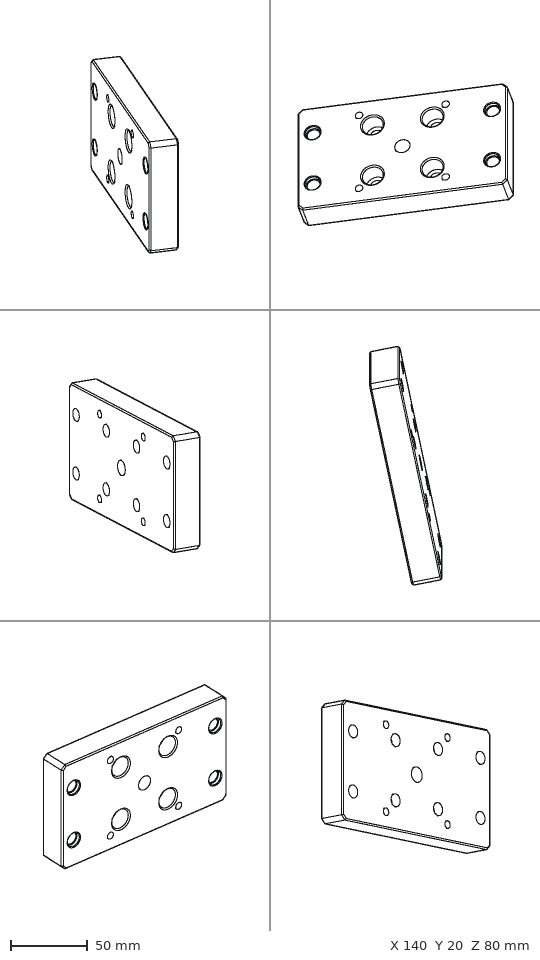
import cadquery as cq

LENGTH = 140.0
THICKNESS = 20.0
HEIGHT = 80.0
CORNER_CHAMFER = 3.1
EDGE_CHAMFER = 1.0

INNER_X = 20.0
OUTER_X = 3 * INNER_X
ROW_Z = INNER_X
PIN_OFFSET = 29.0

PIN_DIAMETER = 5.0
CENTRE_DIAMETER = 10.2
SCREW_DIAMETER = 8.5
COUNTERBORE_DIAMETER = 14.0
COUNTERBORE_DEPTH = 12.6
COUNTERBORE_CHAMFER = 1.0
OUTER_BORE_DIAMETER = 10.2
OUTER_BORE_DEPTH = 3.0
OUTER_BORE_CHAMFER = 0.5

FRONT_Y = -THICKNESS / 2


def mirrored_points(x, z):
    """Four positions, symmetric about both centre lines of the plate."""
    return [(sx * x, sz * z) for sx in (-1, 1) for sz in (-1, 1)]


def make_plate():
    plate = cq.Workplane("XY").box(LENGTH, THICKNESS, HEIGHT)
    plate = plate.edges("|Y").chamfer(CORNER_CHAMFER)
    return plate.faces("<Y or >Y").edges().chamfer(EDGE_CHAMFER)


def bore(points, diameter, depth):
    """Cylinders sunk from the drilled face to the given depth."""
    face = cq.Workplane("XZ", origin=(0, FRONT_Y, 0))
    return face.pushPoints(points).circle(diameter / 2).extrude(-depth)


def countersink(points, diameter, chamfer):
    """45-degree cones that chamfer the mouths of bores in the drilled face."""
    cone = cq.Solid.makeCone(
        diameter / 2 + chamfer, diameter / 2, chamfer,
        pnt=cq.Vector(0, FRONT_Y, 0), dir=cq.Vector(0, 1, 0),
    )
    cones = cq.Workplane("XY")
    for x, z in points:
        cones = cones.add(cone.translate(cq.Vector(x, 0, z)))
    return cones.combine()


def cut_stepped_holes(plate, points, diameter, depth, chamfer):
    """Through screw holes with a wider, chamfered bore at the drilled face."""
    plate = plate.cut(bore(points, SCREW_DIAMETER, THICKNESS))
    plate = plate.cut(bore(points, diameter, depth))
    return plate.cut(countersink(points, diameter, chamfer))


inner_points = mirrored_points(INNER_X, ROW_Z)
outer_points = mirrored_points(OUTER_X, ROW_Z)
pin_points = mirrored_points(PIN_OFFSET, PIN_OFFSET)

result = make_plate()
result = result.cut(bore([(0, 0)], CENTRE_DIAMETER, THICKNESS))
result = result.cut(bore(pin_points, PIN_DIAMETER, THICKNESS))
result = cut_stepped_holes(
    result, inner_points, COUNTERBORE_DIAMETER, COUNTERBORE_DEPTH, COUNTERBORE_CHAMFER
)
result = cut_stepped_holes(
    result, outer_points, OUTER_BORE_DIAMETER, OUTER_BORE_DEPTH, OUTER_BORE_CHAMFER
)